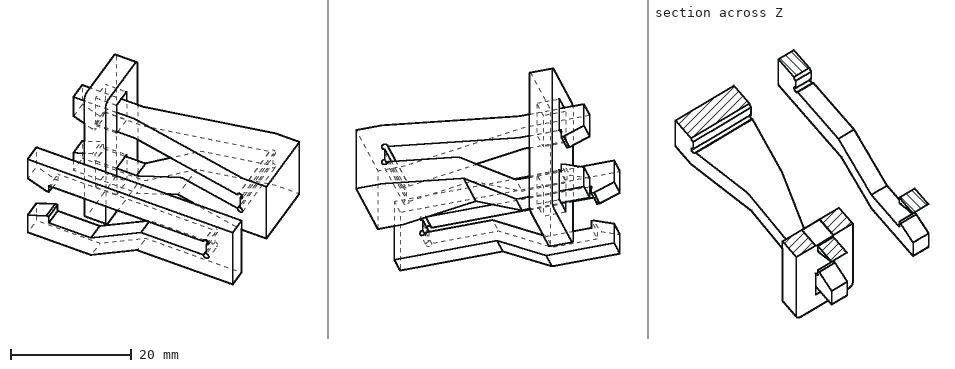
import cadquery as cq
import math

clip_length = 38.2
clip_height = 16.92
clip_top = clip_height / 2
clip_bottom = -clip_top
back_height = 12.0
arm_height = 4.45
hooked_end_height = 3.97
slot_end = 33.25
relief_radius = 0.5

hook_length = 3.97
hook_flat = 0.45
hook_depth = 1.4

bend_start = 11.8
bend_angle = 30.0

arm_width = 3.2
back_width = 12.0
taper_start = 11.3
taper_end = 33.73
bend_round_radius = 2.0
flat_clip_near_side = -18.22

plate_gap = 0.23
plate_thickness = 3.97
plate_width = 11.57
plate_height = 28.55
corner_radius = 1.0
window_width = 3.6
upper_window = (3.95, 10.3)
lower_window = (-10.3, -4.25)

upper_underside = clip_top - arm_height
back_bottom = clip_top - back_height
lower_arm_top = back_bottom + arm_height
hooked_end_top = clip_bottom + hooked_end_height
bend_slope = math.tan(math.radians(bend_angle))
inner_bend_end = bend_start + (lower_arm_top - hooked_end_top) / bend_slope
outer_bend_end = bend_start + (back_bottom - clip_bottom) / bend_slope


def clip_profile(near_side, width):
    """Side profile of the two-armed clip, extruded from near_side towards +Y."""
    plane = cq.Workplane("XZ", origin=(0, near_side, 0))
    body = plane.polyline([
        (0, clip_top),
        (clip_length, clip_top),
        (clip_length, back_bottom),
        (outer_bend_end, back_bottom),
        (bend_start, clip_bottom),
        (0, clip_bottom),
        (0, hooked_end_top),
        (hook_length - hook_flat, hooked_end_top + hook_depth),
        (hook_length, hooked_end_top + hook_depth),
        (hook_length, hooked_end_top),
        (bend_start, hooked_end_top),
        (inner_bend_end, lower_arm_top),
        (slot_end, lower_arm_top),
        (slot_end, upper_underside),
        (hook_length, upper_underside),
        (hook_length, upper_underside - hook_depth),
        (hook_length - hook_flat, upper_underside - hook_depth),
        (0, upper_underside),
    ]).close().extrude(-width)

    relief_centres = [(slot_end, lower_arm_top), (slot_end, upper_underside)]
    reliefs = plane.pushPoints(relief_centres).circle(relief_radius).extrude(-width)
    return body.cut(reliefs)


def make_tapered_clip():
    """Clip that widens from its narrow arms to a broad back."""
    half_arm = arm_width / 2
    half_back = back_width / 2
    plan = cq.Workplane("XY", origin=(0, 0, clip_bottom)).polyline([
        (0, -half_arm),
        (taper_start, -half_arm),
        (taper_end, -half_back),
        (clip_length, -half_back),
        (clip_length, half_back),
        (taper_end, half_back),
        (taper_start, half_arm),
        (0, half_arm),
    ]).close().extrude(clip_height)
    body = clip_profile(-half_back, back_width)

    edge_point = (inner_bend_end, 0, lower_arm_top)
    bend_edge = cq.selectors.NearestToPointSelector(edge_point)
    body = body.edges("|Y").edges(bend_edge).fillet(bend_round_radius)
    return body.intersect(plan)


def make_flat_clip():
    """Clip of constant width beside the assembled one."""
    return clip_profile(flat_clip_near_side, arm_width)


def make_locking_plate():
    """Rounded plate with a window for each arm of the tapered clip."""
    plane = cq.Workplane("YZ", origin=(hook_length + plate_gap, 0, 0))
    plate = plane.rect(plate_width, plate_height).extrude(plate_thickness)
    plate = plate.edges("|X").fillet(corner_radius)
    for low, high in (upper_window, lower_window):
        window = plane.center(0, (low + high) / 2).rect(window_width, high - low)
        plate = plate.cut(window.extrude(plate_thickness))
    return plate


tapered_clip = make_tapered_clip()
flat_clip = make_flat_clip()
locking_plate = make_locking_plate()

result = cq.Compound.makeCompound([
    tapered_clip.solids().val(),
    flat_clip.solids().val(),
    locking_plate.solids().val(),
])